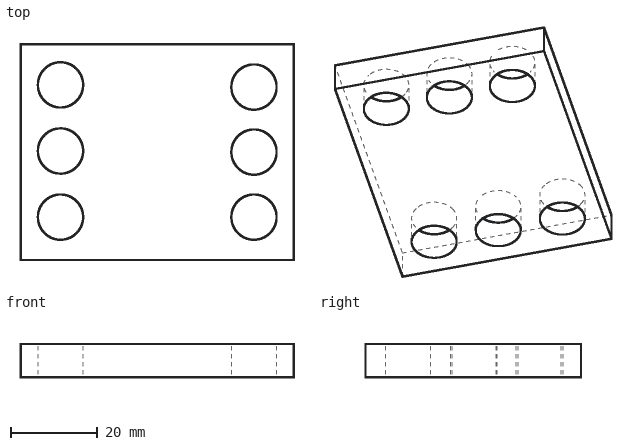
import cadquery as cq

length = 63.0
width = 49.75
thickness = 7.75

hole_diameter = 10.4
side_margin = 9.2
front_margin = 9.9
holes_per_column = 3
left_pitch = 15.25
right_pitch = 15.0

column_x = length / 2 - side_margin
front_row_y = -width / 2 + front_margin


def column_points(x, pitch):
    """Centres of one column of holes, from front to back."""
    return [(x, front_row_y + row * pitch) for row in range(holes_per_column)]


hole_points = column_points(-column_x, left_pitch) + column_points(column_x, right_pitch)

plate = cq.Workplane("XY").box(length, width, thickness)
result = plate.faces(">Z").workplane().pushPoints(hole_points).hole(hole_diameter)